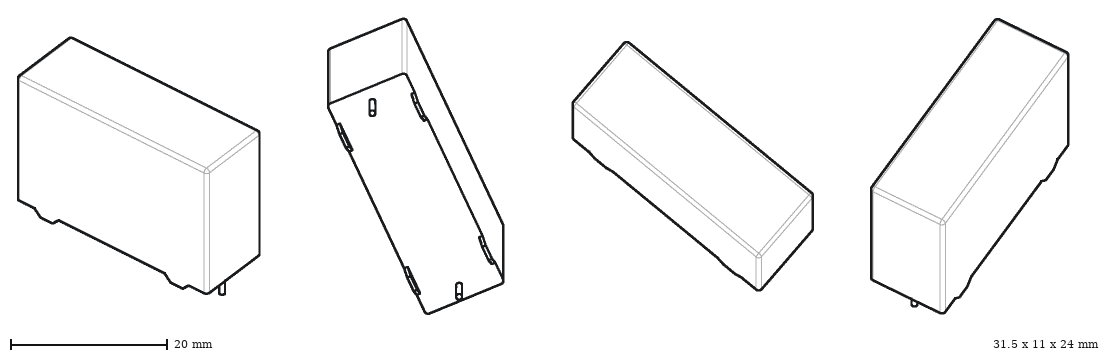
import cadquery as cq

case_length = 31.5
case_width = 11.0
case_height = 20.0
edge_radius = 0.5

foot_height = 1.0
foot_root_length = 4.0
foot_tip_length = 2.02
foot_thickness = edge_radius
foot_inset = 5.0

lead_diameter = 0.8
lead_length = 4.0
lead_inset = 2.0


def make_case():
    """Box standing on Z = 0 with rounded upright and top edges and a sharp bottom rim."""
    box = cq.Workplane("XY").box(case_length, case_width, case_height, centered=(True, True, False))
    return box.edges("|Z or >Z").fillet(edge_radius)


def make_foot(center_x, outer_y, side):
    """Tapered foot below the case, flush with the long wall on the given Y side."""
    half_root = foot_root_length / 2
    half_tip = foot_tip_length / 2
    profile = [
        (center_x - half_root, 0),
        (center_x + half_root, 0),
        (center_x + half_tip, -foot_height),
        (center_x - half_tip, -foot_height),
    ]
    plane = cq.Workplane("XZ", origin=(0, outer_y, 0))
    return plane.polyline(profile).close().extrude(side * foot_thickness)


def make_lead(center_x):
    """Straight lead hanging from the case bottom on the long centre line."""
    return cq.Workplane("XY").center(center_x, 0).circle(lead_diameter / 2).extrude(-lead_length)


result = make_case()
for end in (-1, 1):
    result = result.union(make_lead(end * (case_length / 2 - lead_inset)))
    for side in (-1, 1):
        foot_x = end * (case_length / 2 - foot_inset)
        result = result.union(make_foot(foot_x, side * case_width / 2, side))